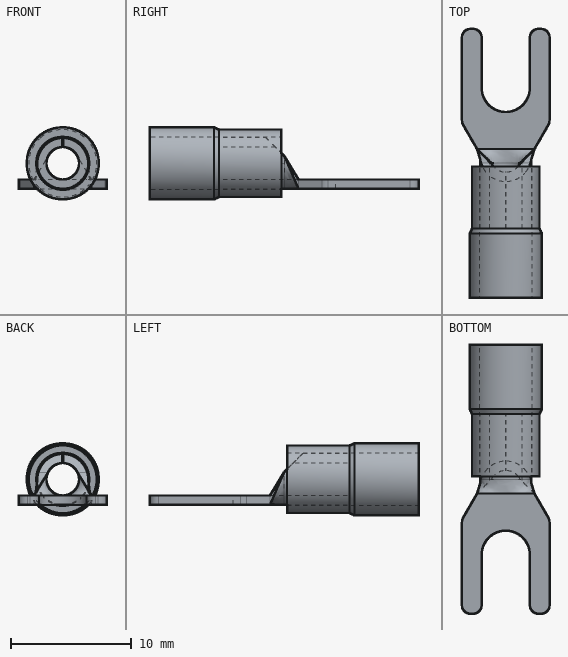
import cadquery as cq
import math


entry_radius = 3.0
grip_radius = 2.8
sleeve_bore_radius = 2.19
sleeve_length = 10.9
shoulder_start = 5.33
shoulder_end = 5.73

sheet = 0.78
barrel_radius = 2.12
barrel_bore_radius = barrel_radius - sheet
barrel_start = shoulder_end
barrel_end = 11.17
seam_width = 0.05

neck_end = 12.33
neck_half_width = 2.39
cradle_height = 0.58

total_length = 22.3
fork_half_width = 7.3 / 2
slot_half_width = 1.98
slot_bottom = 15.4
tip_radius = 0.74
flare_angle = 30
flare_corner_radius = 0.98
fork_bottom = -barrel_radius
fork_top = fork_bottom + sheet


def make_sleeve():
    """Stepped tube with a conical shoulder and a plain through bore."""
    profile = [
        (sleeve_bore_radius, 0),
        (entry_radius, 0),
        (entry_radius, shoulder_start),
        (grip_radius, shoulder_end),
        (grip_radius, sleeve_length),
        (sleeve_bore_radius, sleeve_length),
    ]
    return cq.Workplane("XY").polyline(profile).close().revolve(360, (0, 0), (0, 1))


def make_barrel():
    """Rolled tube with a seam on top and its front end cut away at 45 degrees."""
    tube = (
        cq.Workplane("XZ", origin=(0, barrel_end, 0))
        .circle(barrel_radius)
        .circle(barrel_bore_radius)
        .extrude(barrel_end - barrel_start)
    )
    seam = cq.Workplane("XY").box(
        seam_width, barrel_end - barrel_start, barrel_radius, centered=(True, False, False)
    ).translate((0, barrel_start, 0))

    cut_side = 2 * barrel_radius
    front_cut = (
        cq.Workplane("YZ")
        .moveTo(barrel_end, cradle_height)
        .lineTo(barrel_end, cradle_height + cut_side)
        .lineTo(barrel_end - cut_side, cradle_height + cut_side)
        .close()
        .extrude(barrel_radius, both=True)
    )
    return tube.cut(seam).cut(front_cut)


def make_neck():
    """Ruled transition from the open barrel section to the flat sheet section."""
    def cradle_half_width(radius):
        return math.sqrt(radius**2 - cradle_height**2)

    outer_x = cradle_half_width(barrel_radius)
    inner_x = cradle_half_width(barrel_bore_radius)

    def at_barrel(x, z):
        return cq.Vector(x, barrel_end, z)

    def at_fork(x, z):
        return cq.Vector(x, neck_end, z)

    cradle_edges = [
        cq.Edge.makeThreePointArc(
            at_barrel(-outer_x, cradle_height),
            at_barrel(0, -barrel_radius),
            at_barrel(outer_x, cradle_height),
        ),
        cq.Edge.makeLine(at_barrel(outer_x, cradle_height), at_barrel(inner_x, cradle_height)),
        cq.Edge.makeThreePointArc(
            at_barrel(inner_x, cradle_height),
            at_barrel(0, -barrel_bore_radius),
            at_barrel(-inner_x, cradle_height),
        ),
        cq.Edge.makeLine(at_barrel(-inner_x, cradle_height), at_barrel(-outer_x, cradle_height)),
    ]
    flat_corners = [
        at_fork(-neck_half_width, fork_bottom),
        at_fork(neck_half_width, fork_bottom),
        at_fork(neck_half_width, fork_top),
        at_fork(-neck_half_width, fork_top),
    ]
    flat_edges = [
        cq.Edge.makeLine(start, end)
        for start, end in zip(flat_corners, flat_corners[1:] + flat_corners[:1])
    ]

    faces = [cq.Face.makeRuledSurface(curved, straight) for curved, straight in zip(cradle_edges, flat_edges)]
    for section in (cradle_edges, flat_edges):
        faces.append(cq.Face.makeFromWires(cq.Wire.assembleEdges(section)))
    return cq.Workplane(cq.Solid.makeSolid(cq.Shell.makeShell(faces)).fix())


def make_fork():
    """Flat plate flaring from the neck, with a round-bottomed slot and rounded tips."""
    flare_run = (fork_half_width - neck_half_width) / math.tan(math.radians(flare_angle))
    flare_end = neck_end + flare_run
    slot_center = slot_bottom + slot_half_width

    plate = (
        cq.Workplane("XY", origin=(0, 0, fork_bottom))
        .moveTo(-neck_half_width, neck_end)
        .lineTo(neck_half_width, neck_end)
        .lineTo(fork_half_width, flare_end)
        .lineTo(fork_half_width, total_length)
        .lineTo(slot_half_width, total_length)
        .lineTo(slot_half_width, slot_center)
        .threePointArc((0, slot_bottom), (-slot_half_width, slot_center))
        .lineTo(-slot_half_width, total_length)
        .lineTo(-fork_half_width, total_length)
        .lineTo(-fork_half_width, flare_end)
        .close()
        .extrude(sheet)
    )
    plate = plate.faces(">Y").edges("|Z").fillet(tip_radius)

    flare_corners = cq.selectors.BoxSelector(
        (-total_length, flare_end - 0.22, -total_length),
        (total_length, flare_end + 0.22, total_length),
    )
    return plate.edges("|Z").edges(flare_corners).fillet(flare_corner_radius)


def make_terminal():
    """One-piece metal terminal: barrel, neck and fork."""
    return make_barrel().union(make_neck()).union(make_fork())


sleeve = make_sleeve()
terminal = make_terminal()

result = cq.Compound.makeCompound([sleeve.val(), *terminal.vals()])